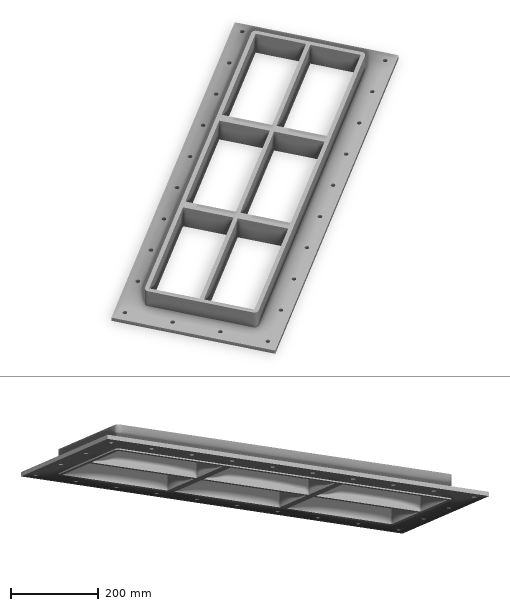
import cadquery as cq

FLANGE_WIDTH = 391.0
FLANGE_LENGTH = 1014.0
FLANGE_THICKNESS = 10.0

RIM_WIDTH = 60.0
FRAME_WIDTH = FLANGE_WIDTH - 2 * RIM_WIDTH
FRAME_LENGTH = FLANGE_LENGTH - 2 * RIM_WIDTH
FRAME_HEIGHT = 60.0
FRAME_CORNER_RADIUS = 10.0
FRAME_WALL = 10.0
FRAME_DROP_BELOW_FLANGE = 3.0

COLUMNS = 2
ROWS = 3
LENGTHWISE_BAR = 10.0
CROSS_BAR = 20.0
OPENING_WIDTH = (FRAME_WIDTH - 2 * FRAME_WALL - (COLUMNS - 1) * LENGTHWISE_BAR) / COLUMNS
OPENING_LENGTH = (FRAME_LENGTH - 2 * FRAME_WALL - (ROWS - 1) * CROSS_BAR) / ROWS

HOLE_DIAMETER = 10.5
HOLE_EDGE_DISTANCE = 25.0
HOLES_ACROSS = 4
HOLES_ALONG = 10
HOLE_PITCH_X = (FLANGE_WIDTH - 2 * HOLE_EDGE_DISTANCE) / (HOLES_ACROSS - 1)
HOLE_PITCH_Y = (FLANGE_LENGTH - 2 * HOLE_EDGE_DISTANCE) / (HOLES_ALONG - 1)


def make_flange():
    """Flat rectangular plate with its underside at Z = 0."""
    return cq.Workplane("XY").rect(FLANGE_WIDTH, FLANGE_LENGTH).extrude(FLANGE_THICKNESS)


def make_frame():
    """Solid block with rounded vertical corners, before the openings are cut."""
    return (
        cq.Workplane("XY")
        .workplane(offset=-FRAME_DROP_BELOW_FLANGE)
        .rect(FRAME_WIDTH, FRAME_LENGTH)
        .extrude(FRAME_HEIGHT)
        .edges("|Z")
        .fillet(FRAME_CORNER_RADIUS)
    )


def make_openings():
    """Sharp-cornered through openings, separated by the bars."""
    return (
        cq.Workplane("XY")
        .workplane(offset=-FRAME_DROP_BELOW_FLANGE)
        .rarray(OPENING_WIDTH + LENGTHWISE_BAR, OPENING_LENGTH + CROSS_BAR, COLUMNS, ROWS)
        .rect(OPENING_WIDTH, OPENING_LENGTH)
        .extrude(FRAME_HEIGHT)
    )


def rim_hole_positions():
    """Hole centres on the rectangular perimeter, each corner listed once."""
    half_x = FLANGE_WIDTH / 2 - HOLE_EDGE_DISTANCE
    half_y = FLANGE_LENGTH / 2 - HOLE_EDGE_DISTANCE
    positions = []
    for column in range(HOLES_ACROSS):
        for row in range(HOLES_ALONG):
            on_side = column in (0, HOLES_ACROSS - 1)
            on_end = row in (0, HOLES_ALONG - 1)
            if on_side or on_end:
                positions.append((column * HOLE_PITCH_X - half_x, row * HOLE_PITCH_Y - half_y))
    return positions


def make_bolt_holes():
    """Cylinders that drill the flange right through."""
    return (
        cq.Workplane("XY")
        .pushPoints(rim_hole_positions())
        .circle(HOLE_DIAMETER / 2)
        .extrude(FLANGE_THICKNESS)
    )


result = make_flange().union(make_frame()).cut(make_openings()).cut(make_bolt_holes())